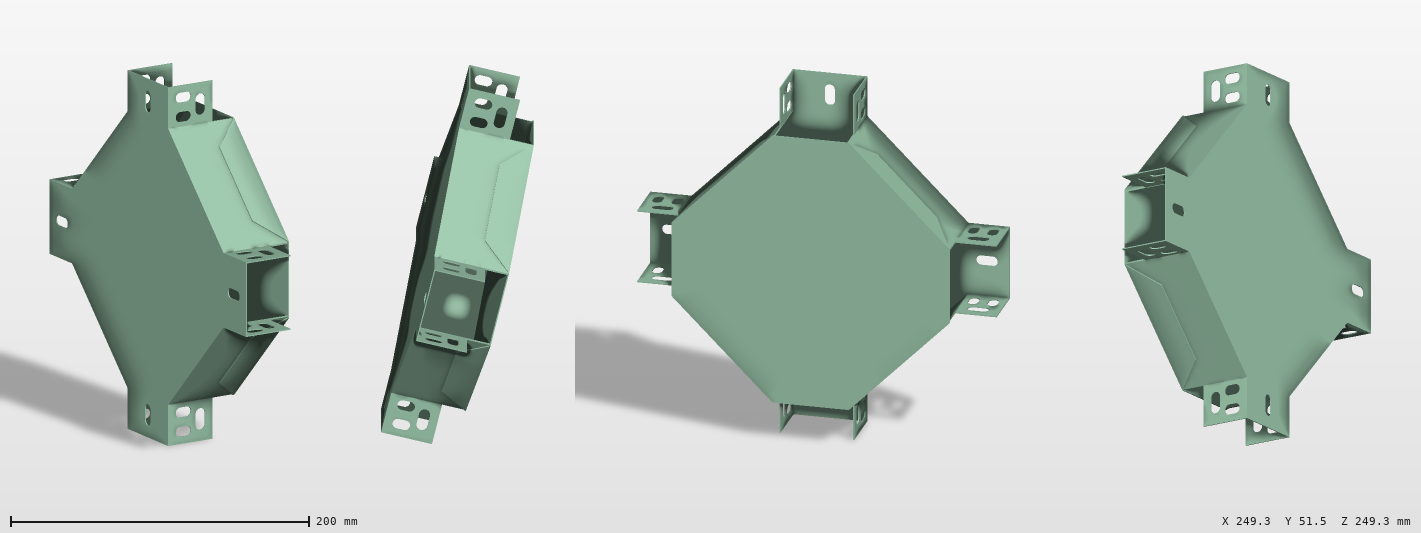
import cadquery as cq
import math


span = 249.3
depth = 51.5
arm_width = 51.9
tab_length = 28.7
tab_depth = 35.2
sheet = 0.8
flap_depth = 20.2

slot_width = 7.0
long_slot_width = 7.5
long_slot_length = 15.0
short_slot_length = 12.0
face_slot_from_tip = 15.7
tab_slot_from_tip = 15.2
short_slot_spacing = 13.5
long_slot_height = 25.5
short_slot_height = 12.0

half_span = span / 2
half_width = arm_width / 2
wall_reach = half_span - tab_length
wall_depth = depth - sheet
face_slot_reach = half_span - face_slot_from_tip
tab_slot_reach = half_span - tab_slot_from_tip
quarter_turns = (0, 90, 180, 270)

lid_growth = sheet / math.sqrt(2)
lid_half_width = half_width + lid_growth
lid_reach = wall_reach + lid_growth
flap_length = math.sqrt(2) * (lid_reach - lid_half_width)


def turned(body, angle):
    """Turn a body about the Y axis."""
    return body.rotate((0, 0, 0), (0, 1, 0), angle)


def prism(points, thickness):
    """Extrude an XZ outline from the plane Y = 0 towards +Y."""
    return cq.Workplane("XZ").polyline(points).close().extrude(-thickness)


def octagon(half_side, reach):
    """Outline of a square with slanted corners, as (x, z) points."""
    return [
        (half_side, reach), (reach, half_side), (reach, -half_side), (half_side, -reach),
        (-half_side, -reach), (-reach, -half_side), (-reach, half_side), (-half_side, reach),
    ]


def face_plate():
    """Flat front of the tray: an octagon with an arm on each straight side."""
    plate = prism(octagon(half_width, wall_reach), sheet)
    for length_x, length_z in ((span, arm_width), (arm_width, span)):
        arms = cq.Workplane("XZ").rect(length_x, length_z).extrude(-sheet)
        plate = plate.union(arms)
    return plate


def slanted_wall():
    """Wall between the +X and +Z arms, with its ends flush with the ends of the octagon."""
    inner_half_width = half_width - sheet * math.sqrt(2)
    outline = [
        (half_width, wall_reach), (wall_reach, half_width),
        (wall_reach, inner_half_width), (inner_half_width, wall_reach),
    ]
    return prism(outline, wall_depth)


def side_tabs():
    """The two folded side tabs of the +Z arm."""
    tab_centre = half_span - tab_length / 2
    tab_offset = half_width - sheet / 2
    return (
        cq.Workplane("XZ")
        .pushPoints([(-tab_offset, tab_centre), (tab_offset, tab_centre)])
        .rect(sheet, tab_length)
        .extrude(-tab_depth)
    )


def face_slot():
    """Cutter for the slot through the front of the +Z arm."""
    return (
        cq.Workplane("XZ")
        .center(0, face_slot_reach)
        .slot2D(long_slot_length, slot_width, 90)
        .extrude(-sheet)
    )


def tab_slots():
    """Cutter for the one long and two short slots through both side tabs of the +Z arm."""
    side = cq.Workplane("YZ")
    long_slot = (
        side.center(long_slot_height, tab_slot_reach)
        .slot2D(long_slot_length, long_slot_width, 90)
        .extrude(half_width, both=True)
    )
    half_spacing = short_slot_spacing / 2
    short_slots = (
        side.pushPoints([
            (short_slot_height, tab_slot_reach - half_spacing),
            (short_slot_height, tab_slot_reach + half_spacing),
        ])
        .slot2D(short_slot_length, slot_width, 0)
        .extrude(half_width, both=True)
    )
    return long_slot.union(short_slots)


def make_tray():
    """Front plate, four slanted walls and four slotted arms, as one folded sheet."""
    tray = face_plate()
    for angle in quarter_turns:
        tray = tray.union(turned(slanted_wall(), angle))
        tray = tray.union(turned(side_tabs(), angle))
    for angle in quarter_turns:
        tray = tray.cut(turned(face_slot(), angle))
        tray = tray.cut(turned(tab_slots(), angle))
    return tray


def lid_flap():
    """Flap with 45-degree ends, lying on the slanted wall between the +X and +Z arms."""
    half_length = flap_length / 2
    half_tip = half_length - flap_depth
    wall_distance = (half_width + wall_reach) / math.sqrt(2)
    flap = (
        cq.Workplane("YZ", origin=(wall_distance, 0, 0))
        .polyline([
            (depth, -half_length), (depth, half_length),
            (depth - flap_depth, half_tip), (depth - flap_depth, -half_tip),
        ])
        .close()
        .extrude(sheet)
    )
    return turned(flap, -45)


def make_lid():
    """Flat octagonal back with a flap folded forward along each slant."""
    lid = prism(octagon(lid_half_width, lid_reach), sheet).translate((0, wall_depth, 0))
    for angle in quarter_turns:
        lid = lid.union(turned(lid_flap(), angle))
    return lid


tray = make_tray()
lid = make_lid()

result = cq.Compound.makeCompound([tray.solids().val(), lid.solids().val()])